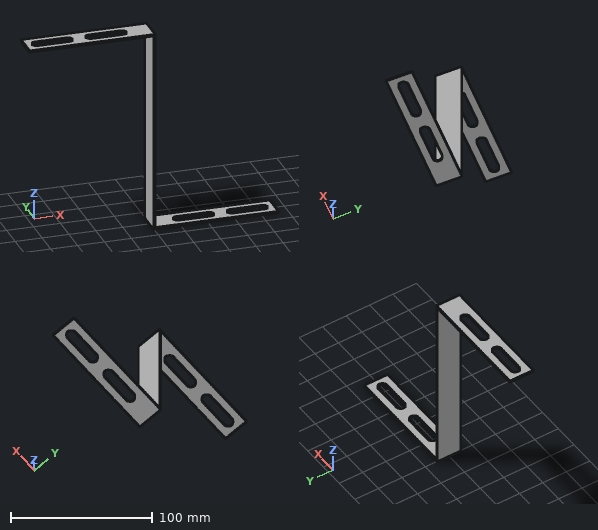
import cadquery as cq

length = 185.0
width = 20.0
height = 151.5
thickness = 1.5

top_flange_length = 93.5
bottom_flange_length = length + thickness - top_flange_length

slot_length = 30.0
slot_width = 7.0
slot_end_margin = 5.0
slot_gap = 10.0


def flange(direction, flange_length):
    """Slotted flange: direction -1 is the top one (toward -X), +1 the bottom one (toward +X)."""
    center_x = direction * (length - flange_length) / 2
    center_z = -direction * (height - thickness) / 2
    plate = cq.Workplane("XY").box(flange_length, width, thickness).translate((center_x, 0, center_z))

    outer_slot_x = length / 2 - slot_end_margin - slot_length / 2
    inner_slot_x = outer_slot_x - slot_length - slot_gap
    slots = (
        cq.Workplane("XY")
        .pushPoints([(direction * outer_slot_x, 0), (direction * inner_slot_x, 0)])
        .slot2D(slot_length, slot_width)
        .extrude(thickness, both=True)
        .translate((0, 0, center_z))
    )
    return plate.cut(slots)


web_center_x = (top_flange_length - bottom_flange_length) / 2
web = cq.Workplane("XY").box(thickness, width, height).translate((web_center_x, 0, 0))

result = web.union(flange(-1, top_flange_length)).union(flange(1, bottom_flange_length))